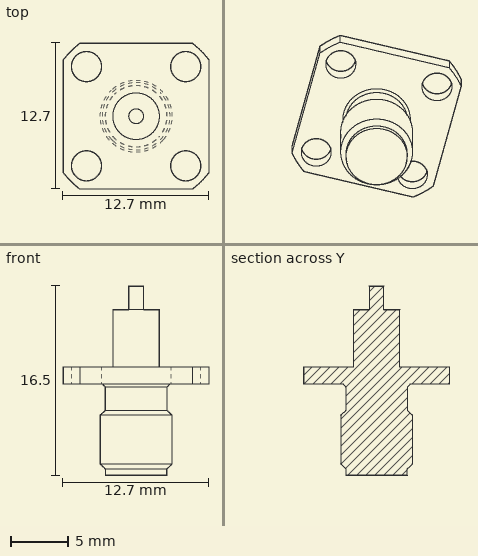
import cadquery as cq

total_height = 16.48

flange_width = 12.7
flange_thickness = 1.5
corner_circle_diameter = 16.05
hole_diameter = 2.6
hole_spacing = 8.64

pin_diameter = 1.29
pin_length = 2.05
insulator_diameter = 4.05
insulator_length = 5.0

collar_diameter = 5.88
collar_height = 0.25
neck_diameter = 5.39
barrel_diameter = 6.26
barrel_top = 5.25
barrel_bottom = 0.99
upper_taper_height = 0.4
lower_taper_height = 0.45
tip_diameter = 5.34

insulator_top = total_height - pin_length
flange_top = insulator_top - insulator_length
flange_bottom = flange_top - flange_thickness


def make_cylinder(diameter, bottom, length):
    """Upright cylinder on the connector axis."""
    return cq.Workplane("XY", origin=(0, 0, bottom)).circle(diameter / 2).extrude(length)


def make_flange():
    """Square plate with corners turned down to a common circle and four through holes."""
    corner_limit = make_cylinder(corner_circle_diameter, flange_bottom, flange_thickness)
    return (
        cq.Workplane("XY", origin=(0, 0, flange_bottom))
        .rect(flange_width, flange_width)
        .extrude(flange_thickness)
        .intersect(corner_limit)
        .faces(">Z")
        .workplane()
        .rect(hole_spacing, hole_spacing, forConstruction=True)
        .vertices()
        .hole(hole_diameter)
    )


def make_barrel():
    """Turned body from the lower tip up to the flange underside."""
    profile = [
        (0, 0),
        (tip_diameter / 2, 0),
        (tip_diameter / 2, barrel_bottom - lower_taper_height),
        (barrel_diameter / 2, barrel_bottom),
        (barrel_diameter / 2, barrel_top),
        (neck_diameter / 2, barrel_top + upper_taper_height),
        (neck_diameter / 2, flange_bottom - collar_height),
        (collar_diameter / 2, flange_bottom),
        (0, flange_bottom),
    ]
    return cq.Workplane("XZ").polyline(profile).close().revolve(360, (0, 0), (0, 1))


insulator = make_cylinder(insulator_diameter, flange_top, insulator_length)
pin = make_cylinder(pin_diameter, insulator_top, pin_length)

result = make_flange().union(make_barrel()).union(insulator).union(pin)